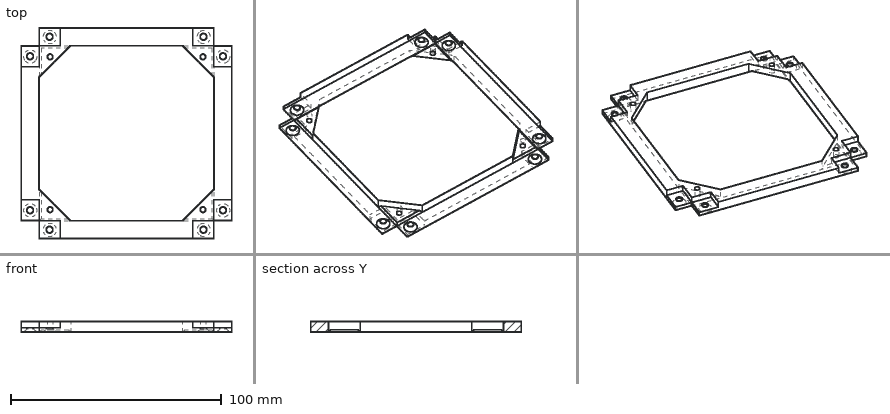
import cadquery as cq

frame_size = 100.0
frame_height = 5.0
rail_width = 8.5
gusset_leg = 15.0
gusset_recess_depth = 1.0
tab_length = 10.0
tab_thickness = 2.0
tab_hole_diameter = 3.0
countersink_diameter = 6.3
gusset_hole_diameter = 2.5
gusset_hole_spacing = 72.5

half_size = frame_size / 2
half_inner = half_size - rail_width
inner_size = 2 * half_inner
rail_centre = half_size - rail_width / 2
tab_centre = half_inner - tab_length / 2
gusset_hole_offset = gusset_hole_spacing / 2

countersink_depth = (countersink_diameter - tab_hole_diameter) / 2
slope_angle = 45

corner_signs = [(sx, sy) for sx in (-1, 1) for sy in (-1, 1)]


def in_all_corners(x, y):
    """Mirror one point into the four corners."""
    return [(sx * x, sy * y) for sx, sy in corner_signs]


def frame_blank():
    """Cross-shaped plate with an eight-sided opening."""
    plate = (
        cq.Workplane("XY")
        .rect(frame_size, inner_size)
        .extrude(frame_height)
        .union(cq.Workplane("XY").rect(inner_size, frame_size).extrude(frame_height))
    )
    opening = (
        cq.Workplane("XY")
        .rect(inner_size, inner_size)
        .extrude(frame_height)
        .edges("|Z")
        .chamfer(gusset_leg)
    )
    return plate.cut(opening)


def tab_recesses():
    """Material removed above the tabs at both ends of every rail."""
    top_of_tabs = cq.Workplane("XY").workplane(offset=tab_thickness)
    recess_depth = frame_height - tab_thickness
    along_x = (
        top_of_tabs.pushPoints(in_all_corners(tab_centre, rail_centre))
        .rect(tab_length, rail_width)
        .extrude(recess_depth)
    )
    along_y = (
        top_of_tabs.pushPoints(in_all_corners(rail_centre, tab_centre))
        .rect(rail_width, tab_length)
        .extrude(recess_depth)
    )
    return along_x.union(along_y)


def gusset_recess():
    """Hollow under the gussets, its sides sloping inwards from the rails."""
    return (
        cq.Workplane("XY")
        .rect(inner_size, inner_size)
        .extrude(gusset_recess_depth, taper=slope_angle)
    )


def countersinks(points):
    """Conical cutters that narrow upwards to the tab hole diameter."""
    return (
        cq.Workplane("XY")
        .pushPoints(points)
        .circle(countersink_diameter / 2)
        .extrude(countersink_depth, taper=slope_angle)
    )


def through_holes(points, diameter):
    """Round cutters through the full frame height."""
    return cq.Workplane("XY").pushPoints(points).circle(diameter / 2).extrude(frame_height)


tab_hole_points = in_all_corners(tab_centre, rail_centre) + in_all_corners(rail_centre, tab_centre)
gusset_hole_points = in_all_corners(gusset_hole_offset, gusset_hole_offset)

result = (
    frame_blank()
    .cut(tab_recesses())
    .cut(gusset_recess())
    .cut(countersinks(tab_hole_points))
    .cut(through_holes(tab_hole_points, tab_hole_diameter))
    .cut(through_holes(gusset_hole_points, gusset_hole_diameter))
)